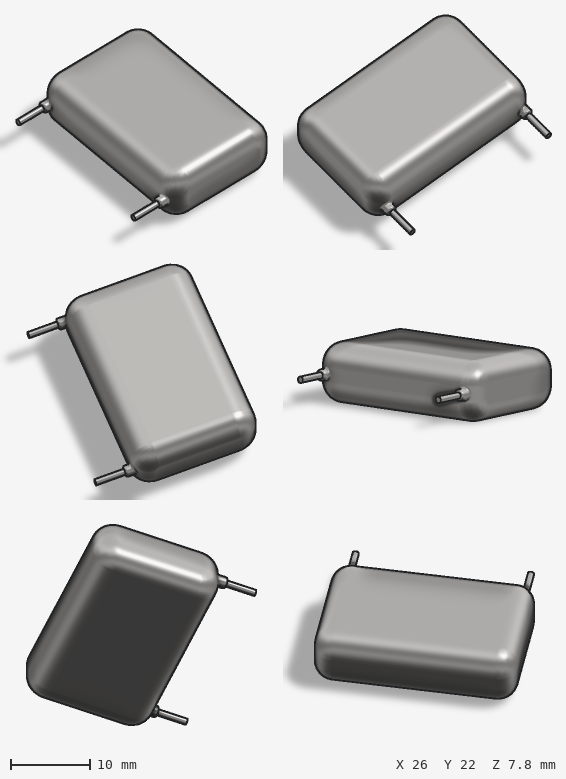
import cadquery as cq

body_length = 26.0
body_depth = 17.0
body_height = 7.8
long_edge_radius = 3.0
end_edge_radius = 2.5

overall_depth = 22.0
lead_length = overall_depth - body_depth
lead_spacing = 22.5
lead_radius = 0.42
collar_radius = 0.75
collar_length = 1.01
collar_rim_radius = 0.3
collar_root_radius = 0.3

front_y = -body_depth / 2
collar_tip_y = front_y - collar_length
embed_depth = long_edge_radius


def make_body():
    """Block with rounded long edges, then rounded around both end faces."""
    block = cq.Workplane("XY").box(body_length, body_depth, body_height)
    block = block.edges("|X").fillet(long_edge_radius)
    return block.faces("<X or >X").edges().fillet(end_edge_radius)


def rod(x, radius, length):
    """Round rod along -Y, reaching the given length beyond the front of the body."""
    start = cq.Vector(x, front_y + embed_depth, 0)
    solid = cq.Solid.makeCylinder(radius, length + embed_depth, start, cq.Vector(0, -1, 0))
    return cq.Workplane(obj=solid)


def add_collar(body, x):
    """Collar with a rounded rim, blended into the body by a root fillet."""
    collar = rod(x, collar_radius, collar_length).faces("<Y").edges().fillet(collar_rim_radius)
    joined = body.union(collar)
    reach = 2 * collar_radius
    root_zone = cq.selectors.BoxSelector(
        (x - reach, collar_tip_y, -reach),
        (x + reach, front_y + embed_depth, reach),
        boundingbox=True,
    )
    return joined.edges("%BSPLINE").edges(root_zone).fillet(collar_root_radius)


result = make_body()
for lead_x in (-lead_spacing / 2, lead_spacing / 2):
    result = add_collar(result, lead_x)
    result = result.union(rod(lead_x, lead_radius, lead_length))